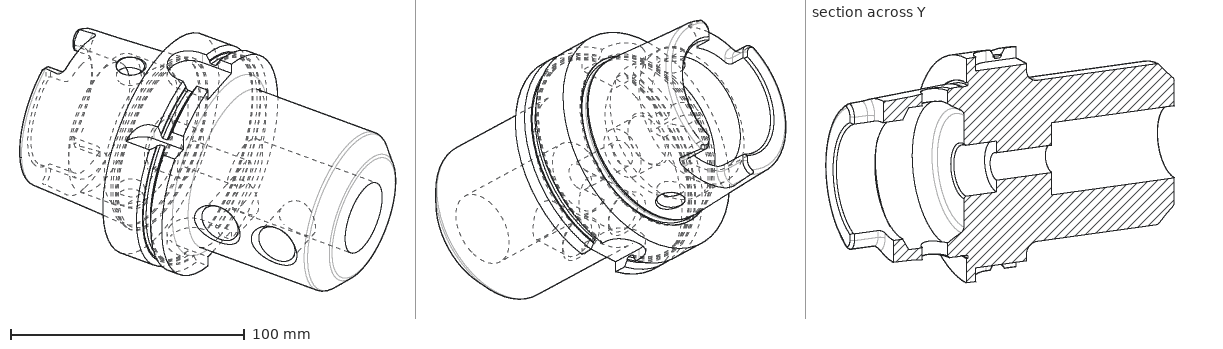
import cadquery as cq
import math


length = 150.0
flange_r = 100.0 / 2

shank_front_r = 35.7
shank_rear_r = 38.0
shank_edge_fillet = 1.6
taper_end_x = 47.0
relief_r = 37.6
relief_start_x = 47.8
relief_end_x = 48.8
relief_outer_r = 39.2
relief_depth = 0.8

flange_front_x = 50.0
flange_rear_x = 79.0
groove_x = 70.0
groove_half_mouth = 3.5
groove_half_neck = 2.0
groove_half_floor = 1.0
groove_neck_r = 47.5
groove_floor_r = 46.0

nose_r = 36.0
neck_fillet = 5.0
nose_chamfer = 8.0
nose_edge_fillet = 2.0

cavity_r = 53.0 / 2
cavity_mouth_chamfer = 1.0
undercut_r = 31.5
undercut_start_x = 19.5
undercut_end_x = 40.0
undercut_front_angle = 60.0
undercut_rear_angle = 30.0
cavity_floor_x = 48.8
cavity_floor_fillet = 2.7

coolant_r = 22.5 / 2
coolant_mouth_r = 24.5 / 2
coolant_floor_x = 64.5
coolant_passage_r = 12 / 2

tool_bore_r = 32.0 / 2
tool_bore_floor_x = 91.0
screw_hole_r = 17.8 / 2
screw_hole_mouth_r = 11.2
screw_hole_positions = (98.4, 126.5)

drive_half_width = 10.2
drive_wall_end_z = 27.5
drive_flare_r = 10.0 / 2
drive_depth_top = 10.0
drive_depth_bottom = 15.0
drive_floor_fillet = 2.2
drive_mouth_chamfer = 1.42

cross_hole_r = 12 / 2
cross_hole_x = 35.0
cross_hole_chamfer = 0.6

cutter_r = 10.0
key_slot_floor_z = 44.0
slot_end_x = 54.6
notch_offset = 31.5


def revolve_about_x(outline):
    """Turn a closed (x, radius) outline about the X axis."""
    return outline.close().revolve(360, (0, 0, 0), (1, 0, 0))


def rounded_corner(corner, angle_in, angle_out, radius):
    """Start, middle and end of an arc rounding a right-hand turn between two headings in degrees."""
    heading_in = math.radians(angle_in)
    heading_out = math.radians(angle_out)
    tangent = radius * math.tan((heading_in - heading_out) / 2)
    start = (corner[0] - tangent * math.cos(heading_in), corner[1] - tangent * math.sin(heading_in))
    end = (corner[0] + tangent * math.cos(heading_out), corner[1] + tangent * math.sin(heading_out))
    centre = (start[0] + radius * math.sin(heading_in), start[1] - radius * math.cos(heading_in))
    heading_mid = (heading_in + heading_out) / 2
    middle = (centre[0] - radius * math.sin(heading_mid), centre[1] + radius * math.cos(heading_mid))
    return start, middle, end


def make_body():
    """Turned outside of the holder."""
    front_arc = rounded_corner((length - nose_chamfer, nose_r), 0, -45, nose_edge_fillet)
    end_arc = rounded_corner((length, nose_r - nose_chamfer), -45, -90, nose_edge_fillet)
    edge = shank_edge_fillet
    edge_inset = edge * (1 - math.sin(math.radians(45)))
    neck_inset = neck_fillet * (1 - math.sin(math.radians(45)))
    outline = (
        cq.Workplane("XY")
        .moveTo(0, 0)
        .lineTo(0, shank_front_r - edge)
        .threePointArc((edge_inset, shank_front_r - edge_inset), (edge, shank_front_r))
        .lineTo(taper_end_x, shank_rear_r)
        .lineTo(relief_start_x, relief_r)
        .lineTo(relief_end_x, relief_r)
        .lineTo(flange_front_x + relief_depth, shank_rear_r)
        .lineTo(flange_front_x + relief_depth, relief_outer_r)
        .lineTo(flange_front_x, relief_outer_r)
        .lineTo(flange_front_x, flange_r)
        .lineTo(groove_x - groove_half_mouth, flange_r)
        .lineTo(groove_x - groove_half_neck, groove_neck_r)
        .lineTo(groove_x - groove_half_neck, groove_floor_r + groove_half_neck - groove_half_floor)
        .lineTo(groove_x - groove_half_floor, groove_floor_r)
        .lineTo(groove_x + groove_half_floor, groove_floor_r)
        .lineTo(groove_x + groove_half_neck, groove_floor_r + groove_half_neck - groove_half_floor)
        .lineTo(groove_x + groove_half_neck, groove_neck_r)
        .lineTo(groove_x + groove_half_mouth, flange_r)
        .lineTo(flange_rear_x, flange_r)
        .lineTo(flange_rear_x, nose_r + neck_fillet)
        .threePointArc(
            (flange_rear_x + neck_inset, nose_r + neck_inset),
            (flange_rear_x + neck_fillet, nose_r),
        )
        .lineTo(*front_arc[0])
        .threePointArc(*front_arc[1:])
        .lineTo(*end_arc[0])
        .threePointArc(*end_arc[1:])
        .lineTo(length, 0)
    )
    return revolve_about_x(outline)


def make_cavity():
    """Clamping cavity, coolant connection, passage and tool bore."""
    front_run = (undercut_r - cavity_r) / math.tan(math.radians(undercut_front_angle))
    rear_drop = (cavity_floor_x - undercut_end_x) * math.tan(math.radians(undercut_rear_angle))
    floor_arc = rounded_corner(
        (cavity_floor_x, undercut_r - rear_drop), -undercut_rear_angle, -90, cavity_floor_fillet
    )
    coolant_chamfer = coolant_mouth_r - coolant_r
    outline = (
        cq.Workplane("XY")
        .moveTo(0, 0)
        .lineTo(0, cavity_r + cavity_mouth_chamfer)
        .lineTo(cavity_mouth_chamfer, cavity_r)
        .lineTo(undercut_start_x, cavity_r)
        .lineTo(undercut_start_x + front_run, undercut_r)
        .lineTo(undercut_end_x, undercut_r)
        .lineTo(*floor_arc[0])
        .threePointArc(*floor_arc[1:])
        .lineTo(cavity_floor_x, coolant_mouth_r)
        .lineTo(cavity_floor_x + coolant_chamfer, coolant_r)
        .lineTo(coolant_floor_x, coolant_r)
        .lineTo(coolant_floor_x, coolant_passage_r)
        .lineTo(tool_bore_floor_x, coolant_passage_r)
        .lineTo(tool_bore_floor_x, tool_bore_r)
        .lineTo(length, tool_bore_r)
        .lineTo(length, 0)
    )
    return revolve_about_x(outline)


def drive_outline(plane_x, widening):
    """Drive slot outline: straight walls that flare outward, widened evenly all round."""
    half_width = drive_half_width + widening
    flare_r = drive_flare_r - widening
    flare_y = half_width + flare_r
    flare_z = drive_wall_end_z + flare_r
    mid_y = flare_y - flare_r * math.cos(math.radians(45))
    mid_z = drive_wall_end_z + flare_r * math.sin(math.radians(45))
    return (
        cq.Workplane("YZ", origin=(plane_x, 0, 0))
        .moveTo(-half_width, 0)
        .lineTo(half_width, 0)
        .lineTo(half_width, drive_wall_end_z)
        .threePointArc((mid_y, mid_z), (flare_y, flare_z))
        .lineTo(flange_r, flare_z)
        .lineTo(flange_r, flange_r)
        .lineTo(-flange_r, flange_r)
        .lineTo(-flange_r, flare_z)
        .lineTo(-flare_y, flare_z)
        .threePointArc((-mid_y, mid_z), (-half_width, drive_wall_end_z))
        .close()
    )


def make_drive_slot(depth):
    """Slot on the +Z side of the shank face, with a rounded floor and a chamfered mouth."""
    slot = drive_outline(0, 0).extrude(depth).faces(">X").edges().fillet(drive_floor_fillet)
    mouth = cq.Solid.makeLoft(
        [
            drive_outline(0, drive_mouth_chamfer).wire().val(),
            drive_outline(drive_mouth_chamfer, 0).wire().val(),
        ],
        True,
    )
    return slot.union(cq.Workplane(mouth))


def make_screw_hole(x):
    """Clamping screw hole from the -Y side to the axis, with a 45 degree countersink."""
    countersink = screw_hole_mouth_r - screw_hole_r
    outline = (
        cq.Workplane("XY", origin=(x, 0, 0))
        .moveTo(0, 0)
        .lineTo(screw_hole_r, 0)
        .lineTo(screw_hole_r, -nose_r + countersink)
        .lineTo(screw_hole_mouth_r, -nose_r)
        .lineTo(0, -nose_r)
    )
    return outline.close().revolve(360, (0, 0, 0), (0, 1, 0))


def make_cross_hole():
    """Cross hole through both shank walls, countersunk at 45 degrees at each outer end."""
    taper = (shank_rear_r - shank_front_r) / taper_end_x
    surface_r = shank_front_r + taper * cross_hole_x
    cone_start_z = surface_r - cross_hole_chamfer
    cone_length = 2 * cross_hole_chamfer
    mouth_r = cross_hole_r + cone_length
    mouth_z = cone_start_z + cone_length
    outline = (
        cq.Workplane("XZ", origin=(cross_hole_x, 0, 0))
        .moveTo(0, -mouth_z)
        .lineTo(mouth_r, -mouth_z)
        .lineTo(cross_hole_r, -cone_start_z)
        .lineTo(cross_hole_r, cone_start_z)
        .lineTo(mouth_r, mouth_z)
        .lineTo(0, mouth_z)
    )
    return outline.close().revolve(360, (0, 0, 0), (0, 1, 0))


def make_flange_slot(centre_y, floor_z):
    """Milled slot with a round end, open toward +Z and through the rear flange face."""
    arc_end_x = slot_end_x + cutter_r
    return (
        cq.Workplane("XY", origin=(0, centre_y, floor_z))
        .moveTo(flange_rear_x, cutter_r)
        .lineTo(arc_end_x, cutter_r)
        .threePointArc((slot_end_x, 0), (arc_end_x, -cutter_r))
        .lineTo(flange_rear_x, -cutter_r)
        .close()
        .extrude(flange_r - floor_z)
    )


result = make_body().cut(make_cavity())
result = result.cut(make_drive_slot(drive_depth_top))
result = result.cut(make_drive_slot(drive_depth_bottom).mirror("XY"))
result = result.cut(make_cross_hole())
for hole_x in screw_hole_positions:
    result = result.cut(make_screw_hole(hole_x))

key_slot = make_flange_slot(0, key_slot_floor_z)
result = result.cut(key_slot).cut(key_slot.mirror("XY"))
result = result.cut(make_flange_slot(-notch_offset - cutter_r, notch_offset))